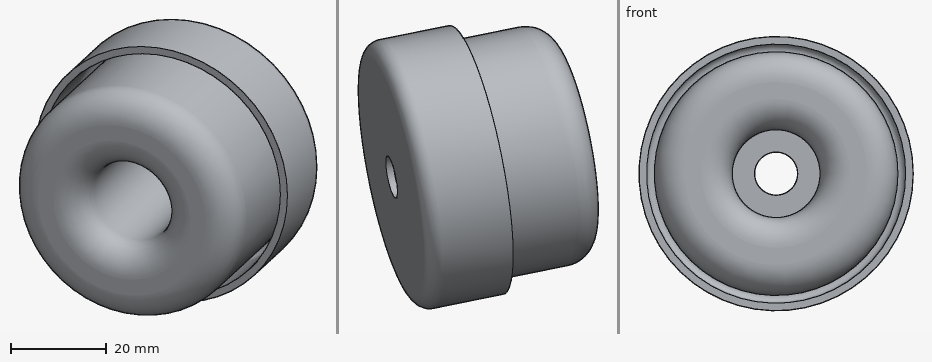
import cadquery as cq

TOTAL_LENGTH = 39.2
CUP_RADIUS = 28.6
CUP_LENGTH = 18.3
CUP_WALL = 1.6
CUP_CORNER_RADIUS = 3.2
SCREW_HOLE_RADIUS = 4.45
CUSHION_RADIUS = 25.4
CUSHION_BORE_RADIUS = 9.15
CUSHION_ROUND_RADIUS = 6.35

CUP_INNER_RADIUS = CUP_RADIUS - CUP_WALL
CUP_INNER_CORNER_RADIUS = CUP_CORNER_RADIUS - CUP_WALL
CUSHION_LENGTH = TOTAL_LENGTH - CUP_WALL


def cylinder(radius, back_depth, length):
    """Cylinder on the Y axis running from Y = -back_depth toward -Y."""
    return cq.Workplane("XZ", origin=(0, -back_depth, 0)).circle(radius).extrude(length)


def make_cup():
    """Open cup with a uniform wall, rounded at the back, with a central screw hole."""
    shell = cylinder(CUP_RADIUS, 0, CUP_LENGTH).faces(">Y").edges().fillet(CUP_CORNER_RADIUS)
    cavity = cylinder(CUP_INNER_RADIUS, CUP_WALL, CUP_LENGTH - CUP_WALL)
    cavity = cavity.faces(">Y").edges().fillet(CUP_INNER_CORNER_RADIUS)
    screw_hole = cylinder(SCREW_HOLE_RADIUS, 0, CUP_WALL)
    return shell.cut(cavity).cut(screw_hole)


def make_cushion():
    """Thick ring seated on the cup floor, rounded inside and outside at its front face."""
    body = cylinder(CUSHION_RADIUS, CUP_WALL, CUSHION_LENGTH)
    bore = cylinder(CUSHION_BORE_RADIUS, CUP_WALL, CUSHION_LENGTH)
    return body.cut(bore).faces("<Y").edges().fillet(CUSHION_ROUND_RADIUS)


cup = make_cup()
cushion = make_cushion()

result = cq.Compound.makeCompound([cup.solids().val(), cushion.solids().val()])